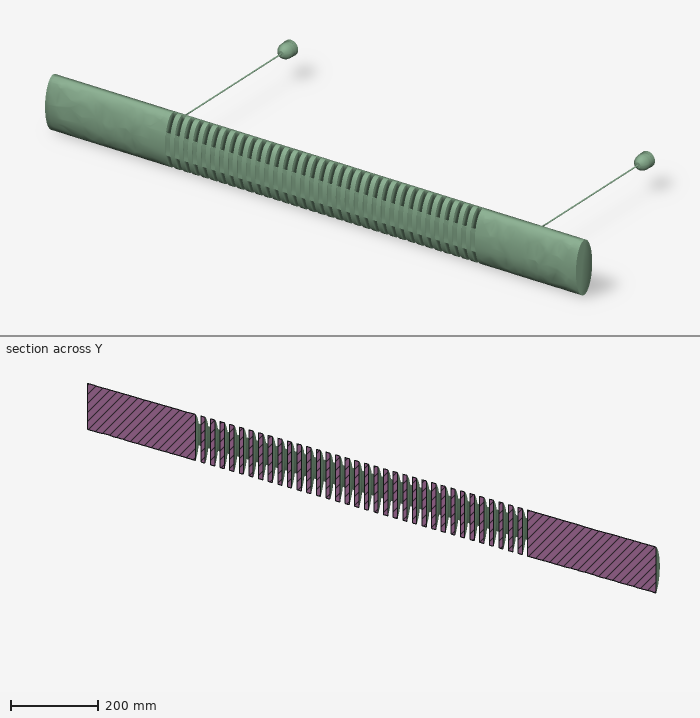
import cadquery as cq
import math

BAR_LENGTH = 1481.0
BAR_HEIGHT = 140.0
BAR_DEPTH = 65.0
TOTAL_DEPTH = 572.0

SLOT_COUNT = 35
SLOT_WIDTH = 12.6
SLOT_ROW_LENGTH = 863.0
SLOT_ROW_CENTRE_X = 27.0

STRIP_HEIGHT = 58.0
STRIP_THICKNESS = 1.0

CORD_SPACING = 995.0
CORD_CENTRE_X = 45.0
CORD_RADIUS = 1.8
NECK_RADIUS = 9.0
NECK_LENGTH = 7.0
WASHER_RADIUS = 13.0
WASHER_THICKNESS = 1.0

CUP_RADIUS = 19.0
CUP_LENGTH = 40.0
CUP_STRAIGHT_LENGTH = 20.0
CUP_TIP_RADIUS = 7.0
BASE_LENGTH = 9.0
BASE_OVERHANG = 0.7

BACK_Y = BAR_DEPTH / 2
FRONT_Y = -BACK_Y
CEILING_Y = FRONT_Y + TOTAL_DEPTH


def make_bar():
    return (
        cq.Workplane("YZ")
        .ellipse(BAR_DEPTH / 2, BAR_HEIGHT / 2)
        .extrude(BAR_LENGTH / 2, both=True)
    )


def make_slots():
    """Full-height cutters that reach from the front of the bar to its long axis."""
    pitch = (SLOT_ROW_LENGTH - SLOT_WIDTH) / (SLOT_COUNT - 1)
    middle_index = (SLOT_COUNT - 1) / 2
    centres = [
        (SLOT_ROW_CENTRE_X + (index - middle_index) * pitch, FRONT_Y)
        for index in range(SLOT_COUNT)
    ]
    return (
        cq.Workplane("XY")
        .pushPoints(centres)
        .rect(SLOT_WIDTH, BAR_DEPTH)
        .extrude(BAR_HEIGHT / 2, both=True)
    )


def make_strip():
    """Strip whose front corners lie on the elliptical surface."""
    strip_front_y = FRONT_Y * math.sqrt(1 - (STRIP_HEIGHT / BAR_HEIGHT) ** 2)
    return (
        cq.Workplane("XY")
        .box(SLOT_ROW_LENGTH, STRIP_THICKNESS, STRIP_HEIGHT)
        .translate((SLOT_ROW_CENTRE_X, strip_front_y + STRIP_THICKNESS / 2, 0))
    )


def make_suspension(x):
    """Neck, washer, cord and cup turned about one axis along Y, rooted inside the bar."""
    washer_start_y = BACK_Y + NECK_LENGTH
    washer_end_y = washer_start_y + WASHER_THICKNESS
    cup_tip_y = CEILING_Y - CUP_LENGTH
    dome_end_y = CEILING_Y - CUP_STRAIGHT_LENGTH
    base_y = CEILING_Y - BASE_LENGTH
    base_radius = CUP_RADIUS + BASE_OVERHANG
    return (
        cq.Workplane("XY")
        .moveTo(0, CEILING_Y)
        .lineTo(base_radius, CEILING_Y)
        .lineTo(base_radius, base_y)
        .lineTo(CUP_RADIUS, base_y)
        .lineTo(CUP_RADIUS, dome_end_y)
        .tangentArcPoint((CUP_TIP_RADIUS, cup_tip_y), relative=False)
        .lineTo(CORD_RADIUS, cup_tip_y)
        .lineTo(CORD_RADIUS, washer_end_y)
        .lineTo(WASHER_RADIUS, washer_end_y)
        .lineTo(WASHER_RADIUS, washer_start_y)
        .lineTo(NECK_RADIUS, washer_start_y)
        .lineTo(NECK_RADIUS, 0)
        .lineTo(0, 0)
        .close()
        .revolve(360, (0, 0, 0), (0, 1, 0))
        .translate((x, 0, 0))
    )


result = make_bar().cut(make_slots()).union(make_strip())
for side in (-1, 1):
    cord_x = CORD_CENTRE_X + side * CORD_SPACING / 2
    result = result.union(make_suspension(cord_x))